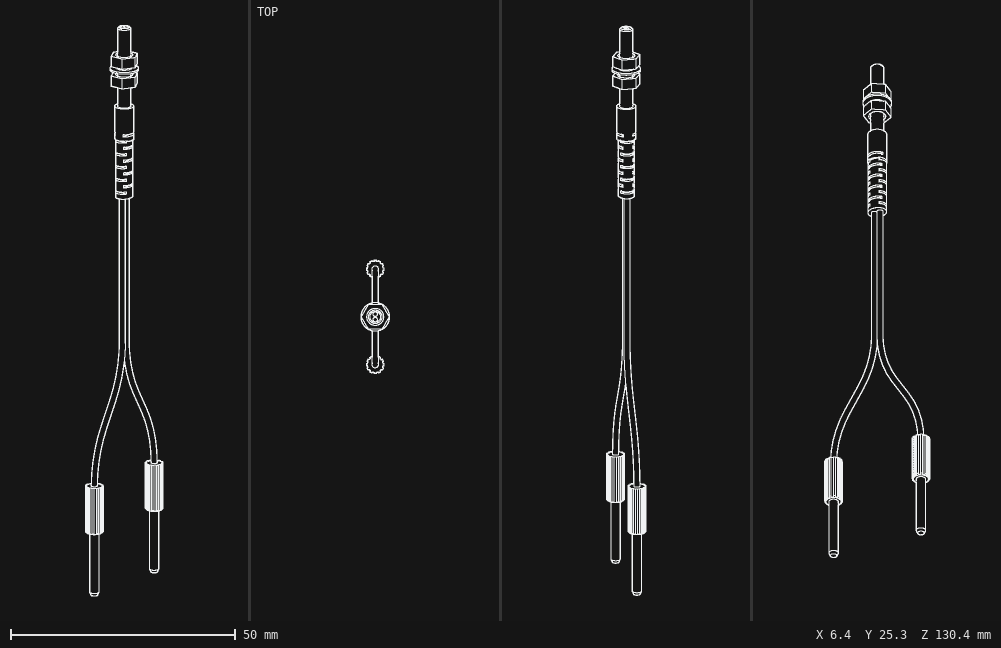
import cadquery as cq
import math

TIP_TOP = 130.42
TIP_DIAMETER = 3.0
TIP_CHAMFER = 0.3
FIBRE_DIAMETER = 1.0
FIBRE_OFFSET = 0.6
FIBRE_RECESS = 0.3

NUT_ACROSS_FLATS = 5.4
NUT_HEIGHT = 2.4
NUT_COUNTERSINK = 0.4
NUT_BASES = (116.9, 121.5)
WASHER_DIAMETER = 6.4
WASHER_BORE = 3.2
WASHER_THICKNESS = 0.4
WASHER_BASE = 120.4

BOOT_BOTTOM = 90.7
BOOT_TOP = 111.9
BOOT_DIAMETER = 4.3
OVAL_WIDTH = 3.6
OVAL_TOP = 104.2
SLOT_COUNT = 5
SLOT_PITCH = 3.0
SLOT_HEIGHT = 0.5
SLOT_CORE_WIDTH = 2.2
LOWEST_Y_SLOT = 92.1
LOWEST_X_SLOT = LOWEST_Y_SLOT + SLOT_PITCH / 2

OVERALL_WIDTH = 25.3
SLEEVE_TOP = 25.6
SLEEVE_BOTTOM = 14.7
SLEEVE_DIAMETER = 4.0
SLEEVE_CHAMFER = 0.3
RIB_COUNT = 12
RIB_PITCH_ANGLE = 360 / RIB_COUNT
RIB_GROOVE_WIDTH = 0.5
RIB_GROOVE_DEPTH = 0.2
PIN_DIAMETER = 2.1
PIN_CHAMFER_LENGTH = 0.7
PIN_CHAMFER_WIDTH = 0.3
PLUG_OFFSET = (OVERALL_WIDTH - SLEEVE_DIAMETER) / 2

STRAND_DIAMETER = 1.4
STRAND_OFFSET = 0.68
SPLIT_Z = 56.8
BEND_ANGLE = math.radians(30)


def cylinder(diameter, bottom, top):
    return cq.Workplane("XY").workplane(offset=bottom).circle(diameter / 2).extrude(top - bottom)


def block(size_x, size_y, size_z, centre):
    return cq.Workplane("XY").box(size_x, size_y, size_z).translate(centre)


def make_nut(base):
    """Hex nut with corners along X and a countersink at both ends of its bore."""
    corner_diameter = NUT_ACROSS_FLATS / math.cos(math.pi / 6)
    hexagon = cq.Workplane("XY").workplane(offset=base).polygon(6, corner_diameter).extrude(NUT_HEIGHT)
    bored = hexagon.cut(cylinder(TIP_DIAMETER, base, base + NUT_HEIGHT))
    return bored.edges("%CIRCLE").chamfer(NUT_COUNTERSINK)


def make_washer():
    top = WASHER_BASE + WASHER_THICKNESS
    return cylinder(WASHER_DIAMETER, WASHER_BASE, top).cut(cylinder(WASHER_BORE, WASHER_BASE, top))


def make_tip():
    tip = cylinder(TIP_DIAMETER, BOOT_TOP, TIP_TOP).faces(">Z").chamfer(TIP_CHAMFER)
    recess = cylinder(FIBRE_DIAMETER, TIP_TOP - FIBRE_RECESS, TIP_TOP)
    for side in (-1, 1):
        tip = tip.cut(recess.translate((0, side * FIBRE_OFFSET, 0)))
    return tip


def make_boot():
    """Boot body with pairs of side slots that alternate between the X and Y sides."""
    oval = cq.Workplane("XY").workplane(offset=BOOT_BOTTOM).ellipse(OVAL_WIDTH / 2, BOOT_DIAMETER / 2)
    boot = oval.extrude(OVAL_TOP - BOOT_BOTTOM).union(cylinder(BOOT_DIAMETER, OVAL_TOP, BOOT_TOP))
    slot_size = (BOOT_DIAMETER, BOOT_DIAMETER, SLOT_HEIGHT)
    slot_offset = (SLOT_CORE_WIDTH + BOOT_DIAMETER) / 2
    for i in range(SLOT_COUNT):
        rise = i * SLOT_PITCH
        for side in (-1, 1):
            boot = boot.cut(block(*slot_size, (side * slot_offset, 0, LOWEST_X_SLOT + rise)))
            boot = boot.cut(block(*slot_size, (0, side * slot_offset, LOWEST_Y_SLOT + rise)))
    return boot


def make_strand():
    """Strand on the +Y side: straight run, bend outwards, sloping run, bend back to vertical."""
    spread = PLUG_OFFSET - STRAND_OFFSET
    drop = SPLIT_Z - SLEEVE_TOP
    sine = math.sin(BEND_ANGLE)
    cosine = math.cos(BEND_ANGLE)
    radius = (drop * sine - spread * cosine) / (2 * (1 - cosine))

    def bend_reach(angle):
        return radius * (1 - math.cos(angle)), radius * math.sin(angle)

    mid_y, mid_z = bend_reach(BEND_ANGLE / 2)
    end_y, end_z = bend_reach(BEND_ANGLE)
    path = (
        cq.Workplane("YZ")
        .moveTo(STRAND_OFFSET, BOOT_BOTTOM)
        .lineTo(STRAND_OFFSET, SPLIT_Z)
        .threePointArc((STRAND_OFFSET + mid_y, SPLIT_Z - mid_z), (STRAND_OFFSET + end_y, SPLIT_Z - end_z))
        .lineTo(PLUG_OFFSET - end_y, SLEEVE_TOP + end_z)
        .threePointArc((PLUG_OFFSET - mid_y, SLEEVE_TOP + mid_z), (PLUG_OFFSET, SLEEVE_TOP))
    )
    profile = cq.Workplane("XY").workplane(offset=BOOT_BOTTOM).center(0, STRAND_OFFSET)
    return profile.circle(STRAND_DIAMETER / 2).sweep(path)


def make_plug():
    """Ribbed sleeve and pin on the Z axis, with ribs centred on the X and Y directions."""
    sleeve = cylinder(SLEEVE_DIAMETER, SLEEVE_BOTTOM, SLEEVE_TOP).faces("<Z").chamfer(SLEEVE_CHAMFER)
    height = SLEEVE_TOP - SLEEVE_BOTTOM
    groove_centre = (SLEEVE_DIAMETER / 2, 0, SLEEVE_BOTTOM + height / 2)
    groove = block(2 * RIB_GROOVE_DEPTH, RIB_GROOVE_WIDTH, height, groove_centre)
    for i in range(RIB_COUNT):
        sleeve = sleeve.cut(groove.rotate((0, 0, 0), (0, 0, 1), (i + 0.5) * RIB_PITCH_ANGLE))
    pin = cylinder(PIN_DIAMETER, 0, SLEEVE_BOTTOM)
    pin = pin.faces("<Z").chamfer(PIN_CHAMFER_LENGTH, PIN_CHAMFER_WIDTH)
    return sleeve.union(pin)


def make_fibre_unit():
    """Tip, boot, both strands and both plugs as one body."""
    branch = make_strand().union(make_plug().translate((0, PLUG_OFFSET, 0)))
    unit = make_tip().union(make_boot())
    for angle in (0, 180):
        unit = unit.union(branch.rotate((0, 0, 0), (0, 0, 1), angle))
    return unit


fibre_unit = make_fibre_unit()
washer = make_washer()
nuts = [make_nut(base) for base in NUT_BASES]

result = cq.Compound.makeCompound([fibre_unit.val(), washer.val(), *[nut.val() for nut in nuts]])